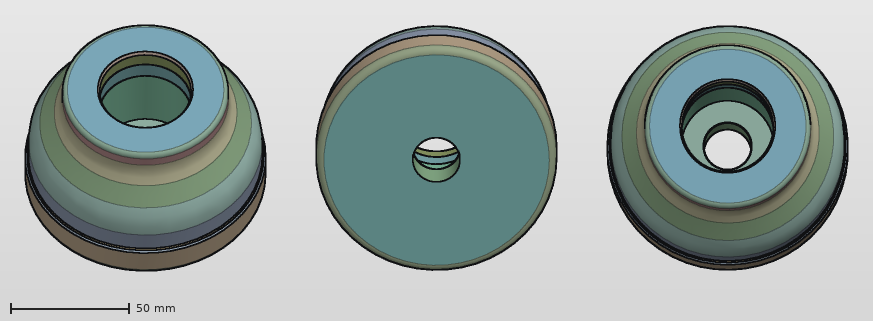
import cadquery as cq
import math

base_radius = 50.8
base_height = 15.4
base_bottom_fillet = 3.3
base_top_chamfer = 0.8
hole_radius = 10.0
hole_chamfer = 0.3

total_height = 62.0
skirt_radius = 49.4
skirt_top_z = 25.6
flare_size = base_radius - base_top_chamfer - skirt_radius
neck_radius = 35.1
neck_bottom_z = 55.6
rim_fillet = 2.0
shoulder_arc_radius = 20.0
neck_arc_radius = 15.0
slope_angle = math.radians(40)

bore_mouth_radius = 20.1
bore_chamfer_depth = 1.4
bore_radius = 19.3
bore_step = 0.1
bore_step_tops = [53.8, 45.7]


def point_on_arc(center_r, center_z, radius, angle):
    """Point (r, z) of an arc in the half section, at an angle from the outward direction."""
    return center_r + radius * math.cos(angle), center_z + radius * math.sin(angle)


def revolve_section(sketch):
    """Revolve a closed (r, z) half section about the Z axis."""
    return sketch.close().revolve(360, (0, 0, 0), (0, 1, 0))


def make_base():
    base = cq.Workplane("XY").circle(base_radius).extrude(base_height)
    base = base.faces("<Z").edges().fillet(base_bottom_fillet)
    base = base.faces(">Z").edges().chamfer(base_top_chamfer)
    hole = cq.Workplane("XY").circle(hole_radius).extrude(base_height)
    base = base.cut(hole)
    hole_edge = base.faces(">Z").edges(cq.selectors.RadiusNthSelector(0))
    return hole_edge.chamfer(hole_chamfer)


def make_bell():
    """Solid bell: flared foot, skirt, convex shoulder, cone, concave neck and rounded rim."""
    shoulder_r = skirt_radius - shoulder_arc_radius
    neck_center_r = neck_radius + neck_arc_radius
    shoulder_mid = point_on_arc(shoulder_r, skirt_top_z, shoulder_arc_radius, slope_angle / 2)
    shoulder_end = point_on_arc(shoulder_r, skirt_top_z, shoulder_arc_radius, slope_angle)
    neck_start = point_on_arc(neck_center_r, neck_bottom_z, neck_arc_radius, math.pi + slope_angle)
    neck_mid = point_on_arc(neck_center_r, neck_bottom_z, neck_arc_radius, math.pi + slope_angle / 2)
    section = (
        cq.Workplane("XZ")
        .moveTo(0, base_height)
        .lineTo(skirt_radius + flare_size, base_height)
        .lineTo(skirt_radius, base_height + flare_size)
        .lineTo(skirt_radius, skirt_top_z)
        .threePointArc(shoulder_mid, shoulder_end)
        .lineTo(*neck_start)
        .threePointArc(neck_mid, (neck_radius, neck_bottom_z))
        .lineTo(neck_radius, total_height)
        .lineTo(0, total_height)
    )
    return revolve_section(section).faces(">Z").edges().fillet(rim_fillet)


def make_bore():
    """Solid that is cut from the bell, from its rim down to the base."""
    section = (
        cq.Workplane("XZ")
        .moveTo(0, total_height)
        .lineTo(bore_mouth_radius, total_height)
        .lineTo(bore_radius, total_height - bore_chamfer_depth)
    )
    radius = bore_radius
    for step_top in bore_step_tops:
        section = section.lineTo(radius, step_top)
        radius += bore_step
        section = section.lineTo(radius, step_top)
    section = section.lineTo(radius, base_height).lineTo(0, base_height)
    return revolve_section(section)


base = make_base()
housing = make_bell().cut(make_bore())

result = cq.Compound.makeCompound([base.val(), housing.val()])